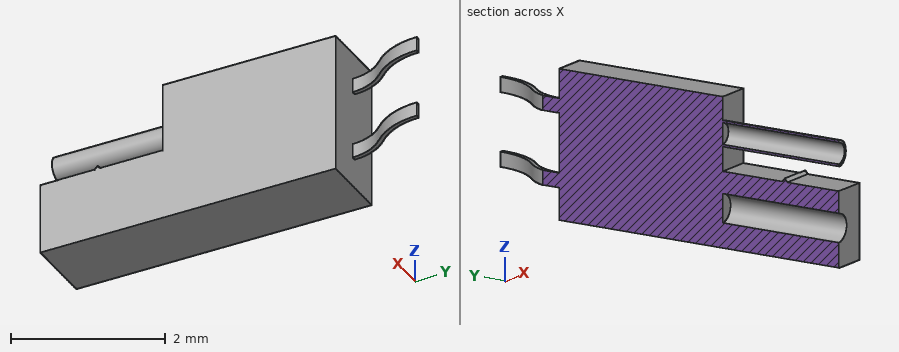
import cadquery as cq
import math

body_width = 1.0
body_length = 4.315
body_height = 2.03
step_length = 1.79
step_height = 1.03

ridge_from_front = 0.84
ridge_height = 0.045
ridge_half_width = 0.045

center_x = body_width / 2
row_spacing = 1.0
lower_row_z = 0.535
upper_row_z = lower_row_z + row_spacing
tube_diameter = 0.36
bore_diameter = 0.285
socket_diameter = 0.385

overall_length = 5.52
overall_width = 1.03
lead_thickness = 0.06
lead_height = 0.205
base_bend_rise = 0.515

lead_rise = overall_length - body_length
lead_run = overall_width - lead_thickness / 2 - center_x
bend_angle = 2 * math.atan(lead_run / lead_rise)
base_bend_radius = base_bend_rise / math.sin(bend_angle)
tip_bend_radius = lead_rise / math.sin(bend_angle) - base_bend_radius



def make_body():
    """Side outline of the stepped block with its ridge, extruded along X."""
    return (
        cq.Workplane("YZ")
        .moveTo(0, 0)
        .lineTo(body_length, 0)
        .lineTo(body_length, body_height)
        .lineTo(step_length, body_height)
        .lineTo(step_length, step_height)
        .lineTo(ridge_from_front + ridge_half_width, step_height)
        .lineTo(ridge_from_front, step_height + ridge_height)
        .lineTo(ridge_from_front - ridge_half_width, step_height)
        .lineTo(0, step_height)
        .close()
        .extrude(body_width)
    )


def front_cylinder(diameter, center_z):
    """Cylinder along Y from the front face to the step wall."""
    return (
        cq.Workplane("XZ")
        .center(center_x, center_z)
        .circle(diameter / 2)
        .extrude(-step_length)
    )


def base_point(radius, angle):
    """Point on the bend next to the body, turned by angle from its upright end."""
    bend_center_x = center_x + base_bend_radius
    return (bend_center_x - radius * math.cos(angle), body_length + radius * math.sin(angle))


def tip_point(radius, angle):
    """Point on the bend at the free end, turned by angle from its upright end."""
    bend_center_x = center_x + lead_run - tip_bend_radius
    return (bend_center_x + radius * math.cos(angle), overall_length - radius * math.sin(angle))


def make_lead(center_z):
    """Flat strip that leaves the body upright, leans toward +X and straightens again."""
    half_thickness = lead_thickness / 2
    base_outer = base_bend_radius + half_thickness
    base_inner = base_bend_radius - half_thickness
    tip_outer = tip_bend_radius + half_thickness
    tip_inner = tip_bend_radius - half_thickness
    half_angle = bend_angle / 2
    return (
        cq.Workplane("XY", origin=(0, 0, center_z - lead_height / 2))
        .moveTo(*base_point(base_outer, 0))
        .threePointArc(base_point(base_outer, half_angle), base_point(base_outer, bend_angle))
        .threePointArc(tip_point(tip_inner, half_angle), tip_point(tip_inner, 0))
        .lineTo(*tip_point(tip_outer, 0))
        .threePointArc(tip_point(tip_outer, half_angle), tip_point(tip_outer, bend_angle))
        .threePointArc(base_point(base_inner, half_angle), base_point(base_inner, 0))
        .close()
        .extrude(lead_height)
    )


result = make_body().union(front_cylinder(tube_diameter, upper_row_z))
result = result.cut(front_cylinder(bore_diameter, upper_row_z))
result = result.cut(front_cylinder(socket_diameter, lower_row_z))
for row_z in (lower_row_z, upper_row_z):
    result = result.union(make_lead(row_z))